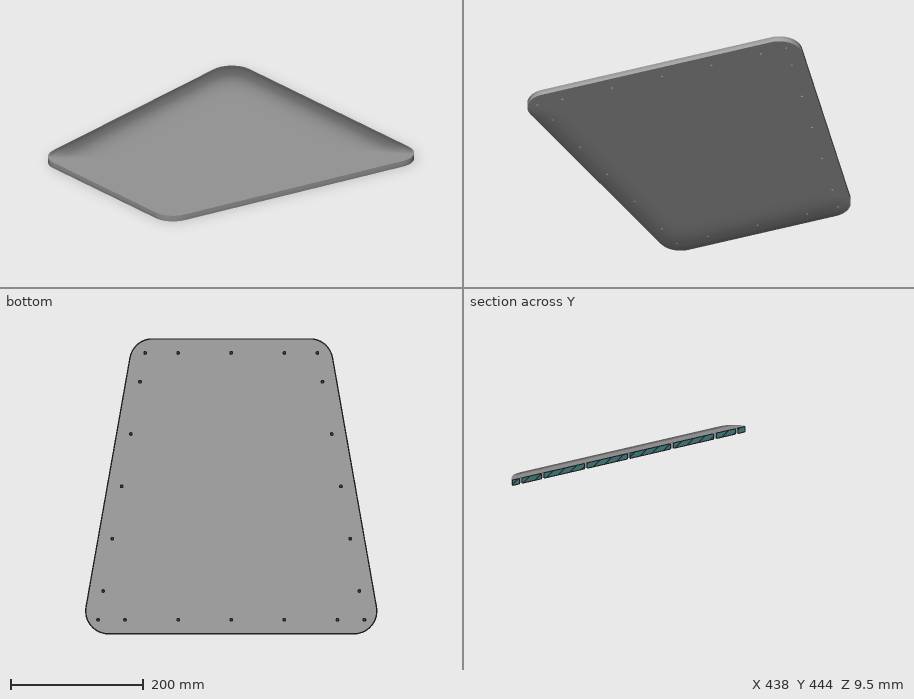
import cadquery as cq
import math

length = 444.0
max_width = 438.0
thickness = 9.5
corner_radius = 34.5
side_angle = math.radians(10)

hole_diameter = 4.0
hole_depth = 8.5
hole_inset = 21.5
hole_pitch = 80.0
side_hole_count = 5
wide_hole_count = 5
narrow_hole_count = 3

half_length = length / 2
slope = math.tan(side_angle)
wide_arc_center_x = max_width / 2 - corner_radius
wide_arc_center_y = half_length - corner_radius
mid_half_width = (
    wide_arc_center_x - wide_arc_center_y * slope + corner_radius / math.cos(side_angle)
)


def half_width(y, inset=0.0):
    """Distance from the Y axis to the slanted side, moved in by inset."""
    return mid_half_width + y * slope - inset / math.cos(side_angle)


def centered_row(count):
    """Evenly pitched positions centred on zero."""
    return [(i - (count - 1) / 2) * hole_pitch for i in range(count)]


def make_plate():
    wide = half_width(half_length)
    narrow = half_width(-half_length)
    corners = [
        (-narrow, -half_length),
        (narrow, -half_length),
        (wide, half_length),
        (-wide, half_length),
    ]
    plate = cq.Workplane("XY").polyline(corners).close().extrude(thickness)
    return plate.edges("|Z").fillet(corner_radius)


def hole_positions():
    row_y = half_length - hole_inset
    points = [(x, row_y) for x in centered_row(wide_hole_count)]
    points += [(x, -row_y) for x in centered_row(narrow_hole_count)]
    side_ys = [s * math.cos(side_angle) for s in centered_row(side_hole_count)]
    for y in [-row_y] + side_ys + [row_y]:
        x = half_width(y, hole_inset)
        points += [(-x, y), (x, y)]
    return points


def make_hole_pins():
    """Solid cylinders that fill the holes, standing on the underside."""
    return (
        cq.Workplane("XY")
        .pushPoints(hole_positions())
        .circle(hole_diameter / 2)
        .extrude(hole_depth)
    )


result = make_plate().cut(make_hole_pins())